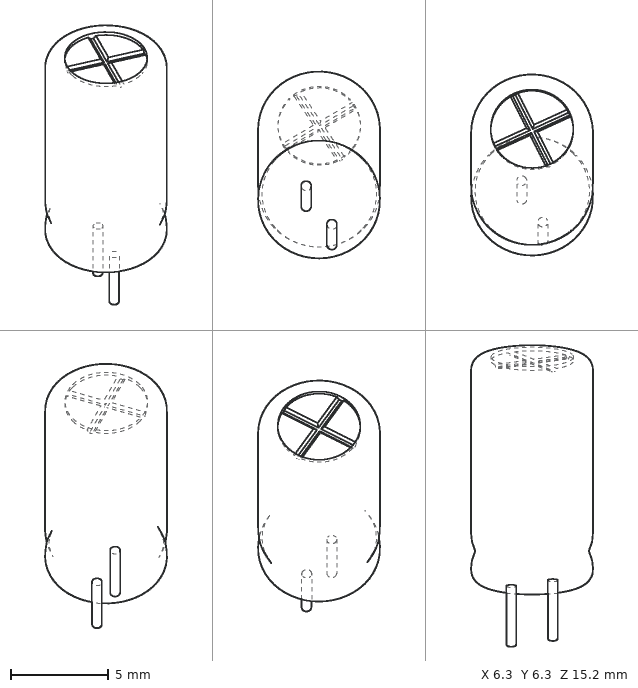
import cadquery as cq
import math

total_height = 15.2
can_diameter = 6.3
can_height = 12.01
can_radius = can_diameter / 2
can_bottom = total_height - can_height

rim_radius = 0.7

crimp_center = can_bottom + 1.7
crimp_half_height = 0.9
crimp_depth = 0.2
throat_half_height = 0.2

recess_radius = 2.13
recess_depth = 0.2
groove_top_width = 0.43
groove_floor_width = 0.15
groove_depth = 0.15

lead_diameter = 0.52
lead_pitch = 2.5
lead_tip_radius = 0.12
lead_embed = 0.15


def make_can():
    """Revolve the half outline of the can, with the rolled-in crimp near the bottom."""
    slope = 2 * math.atan(crimp_depth / crimp_half_height)
    shoulder_radius = (crimp_half_height - throat_half_height) / math.sin(slope)
    waist_radius = can_radius - crimp_depth
    joint_radius = can_radius - shoulder_radius * (1 - math.cos(slope))
    shoulder_mid_radius = can_radius - shoulder_radius * (1 - math.cos(slope / 2))
    shoulder_mid_height = crimp_half_height - shoulder_radius * math.sin(slope / 2)

    outline = (
        cq.Workplane("XZ")
        .moveTo(0, can_bottom)
        .lineTo(can_radius, can_bottom)
        .lineTo(can_radius, crimp_center - crimp_half_height)
        .threePointArc(
            (shoulder_mid_radius, crimp_center - shoulder_mid_height),
            (joint_radius, crimp_center - throat_half_height),
        )
        .threePointArc(
            (waist_radius, crimp_center),
            (joint_radius, crimp_center + throat_half_height),
        )
        .threePointArc(
            (shoulder_mid_radius, crimp_center + shoulder_mid_height),
            (can_radius, crimp_center + crimp_half_height),
        )
        .lineTo(can_radius, total_height)
        .lineTo(0, total_height)
        .close()
    )
    can = outline.revolve(360, (0, 0, 0), (0, 1, 0))
    return can.faces("<Z or >Z").edges().fillet(rim_radius)


def make_vent():
    """Return the volume removed from the top: the recess and its crossed grooves."""
    recess_floor = total_height - recess_depth
    recess = cq.Workplane("XY").workplane(offset=recess_floor).circle(recess_radius).extrude(recess_depth)
    groove = (
        cq.Workplane("YZ")
        .moveTo(-groove_top_width / 2, recess_floor)
        .lineTo(-groove_floor_width / 2, recess_floor - groove_depth)
        .lineTo(groove_floor_width / 2, recess_floor - groove_depth)
        .lineTo(groove_top_width / 2, recess_floor)
        .close()
        .extrude(recess_radius, both=True)
    )
    boundary = (
        cq.Workplane("XY")
        .workplane(offset=recess_floor - groove_depth)
        .circle(recess_radius)
        .extrude(groove_depth)
    )
    grooves = groove.union(groove.rotate((0, 0, 0), (0, 0, 1), 90)).intersect(boundary)
    return recess.union(grooves)


def make_lead(x):
    """Return one round lead with a rounded tip, reaching slightly into the can."""
    return (
        cq.Workplane("XY")
        .center(x, 0)
        .circle(lead_diameter / 2)
        .extrude(can_bottom + lead_embed)
        .faces("<Z")
        .edges()
        .fillet(lead_tip_radius)
    )


result = make_can().cut(make_vent())
for side in (-1, 1):
    result = result.union(make_lead(side * lead_pitch / 2))